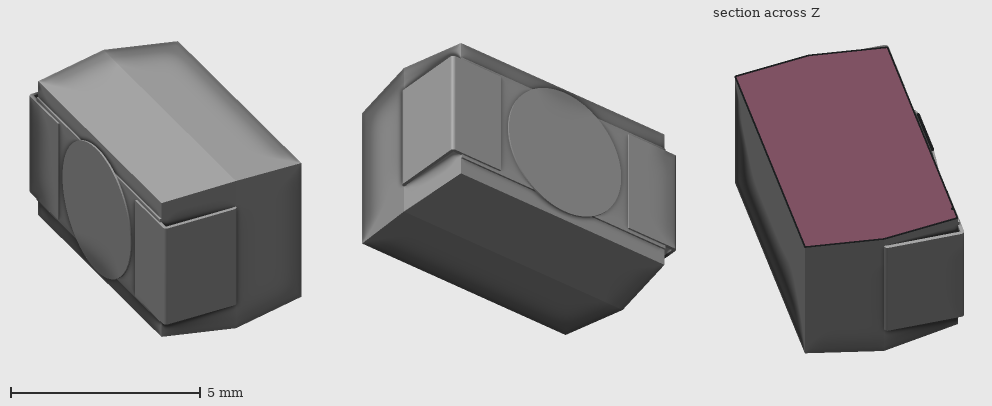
import cadquery as cq

body_length = 7.4
body_height = 4.6
face_length = 6.88
face_height = 4.18
half_depth = 2.1

terminal_thickness = 0.1
terminal_height = 3.0
terminal_bend_radius = 0.1
terminal_foot_length = 1.64
terminal_tab_depth = 0.3

strip_height = 3.2
strip_thickness = 0.05
pad_radius = 1.9
pad_thickness = terminal_thickness - strip_thickness

front_y = -half_depth
terminal_outer_x = body_length / 2 + terminal_thickness


def tapered_half(direction):
    """Half of the body, from the parting plane towards +Y (1) or -Y (-1)."""
    return (
        cq.Workplane("XZ")
        .rect(body_length, body_height)
        .workplane(offset=-direction * half_depth)
        .rect(face_length, face_height)
        .loft(ruled=True)
    )


def front_layer(sketch_y):
    """XZ sketch plane at the given Y; positive extrusion goes towards -Y."""
    return cq.Workplane("XZ", origin=(0, sketch_y, 0))


def terminal():
    """C-shaped terminal at the -X end: tab in the body, end wall and foot under the front face."""
    inner_x = -body_length / 2
    outer_x = -terminal_outer_x
    foot_y = front_y - terminal_thickness
    foot_end_x = outer_x + terminal_foot_length
    tab_end_x = inner_x + terminal_tab_depth
    return (
        cq.Workplane("XY", origin=(0, 0, -terminal_height / 2))
        .moveTo(tab_end_x, 0)
        .lineTo(outer_x + terminal_bend_radius, 0)
        .radiusArc((outer_x, -terminal_bend_radius), -terminal_bend_radius)
        .lineTo(outer_x, foot_y + terminal_bend_radius)
        .radiusArc((outer_x + terminal_bend_radius, foot_y), -terminal_bend_radius)
        .lineTo(foot_end_x, foot_y)
        .lineTo(foot_end_x, front_y)
        .lineTo(inner_x, front_y)
        .lineTo(inner_x, -terminal_thickness)
        .lineTo(tab_end_x, -terminal_thickness)
        .close()
        .extrude(terminal_height)
    )


body = tapered_half(1).union(tapered_half(-1))
strip = front_layer(front_y).rect(face_length, strip_height).extrude(strip_thickness)
pad = front_layer(front_y - strip_thickness).circle(pad_radius).extrude(pad_thickness)
left_terminal = terminal()
right_terminal = left_terminal.mirror("YZ")

result = body.union(strip).union(pad).union(left_terminal).union(right_terminal)